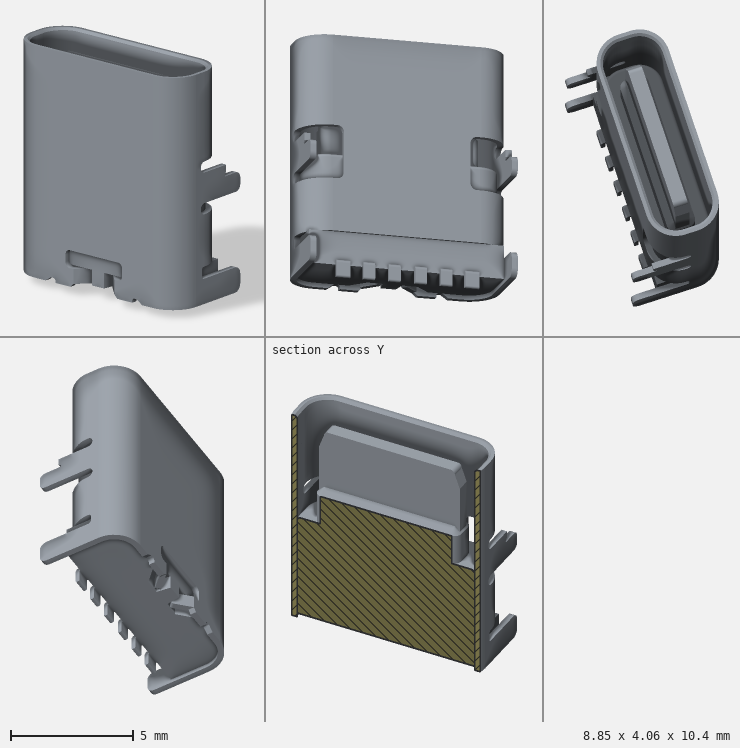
import cadquery as cq
import math


OVERALL_HEIGHT = 10.38
OVERALL_DEPTH = 4.06

SHELL_WIDTH = 8.85
SHELL_DEPTH = 3.05
SHELL_HEIGHT = 10.0
SHELL_RADIUS = 1.26
WALL = 0.26
RIM_CHAMFER = 0.1
INNER_WIDTH = SHELL_WIDTH - 2 * WALL
INNER_DEPTH = SHELL_DEPTH - 2 * WALL
INNER_RADIUS = SHELL_RADIUS - WALL
FRONT_Y = -SHELL_DEPTH / 2
INNER_FRONT_Y = -INNER_DEPTH / 2
BACK_Y = SHELL_DEPTH / 2
CORNER_START_Y = BACK_Y - SHELL_RADIUS
BEYOND = 1.04

LEG_END_Y = FRONT_Y + OVERALL_DEPTH
UPPER_LEG_BOTTOM = 4.34
UPPER_LEG_TOP = 5.17
UPPER_LEG_ROUND = 0.27
SHOULDER_TOP = 5.66
SHOULDER_Y = BACK_Y + 0.11
SHOULDER_BOTTOM = 5.35
RELIEF_DEPTH = 0.12
RELIEF_LIP = 0.06
LOWER_LEG_TOP = 1.09
LOWER_LEG_ROUND = 0.33

SLOT_HEIGHT = 0.48
SLOT_END_ROUND = 0.23
SLOT_END_Y = 0.02
OPENING_HALF_GAP = 2.7
OPENING_ROUND = 0.29
REAR_CUT_TOP = 1.61
REAR_CUT_END_Y = 0.09
REAR_CUT_ROUND = 0.12

WINDOW_WIDTH = 3.03
WINDOW_BOTTOM = 0.79
WINDOW_TOP = 1.57
WINDOW_ROUND = 0.23
FOLD_X = 1.1
FOLD_ANGLE = math.radians(45)
TAB_TIP_X = 0.43
TAB_BOTTOM = 0.16
TAB_ROUND = 0.1
TAB_RAMP = 0.16
NOTCH_OUTER_X = 2.58
NOTCH_INNER_X = 2.06
NOTCH_HEIGHT = 0.2
NOTCH_RAMP = 0.29
NOTCH_ROUND = 0.12

CORE_BOTTOM = 0.19
CORE_TOP = 4.98
CORE_ROUND = 0.15
CORE_REAR_Y = BACK_Y - 0.11
POCKET_TOP = 0.86
POCKET_DEPTH = 0.62
POCKET_FLOOR_OUTER_X = 1.07
POCKET_FLOOR_INNER_X = 0.42
POCKET_MOUTH_INNER_X = 0.32

TONGUE_BASE_WIDTH = 6.68
TONGUE_BASE_DEPTH = 1.2
TONGUE_STEP = 0.3
TONGUE_CORNER = 0.33
TONGUE_SLOPE_HEIGHT = 0.3
TONGUE_SLOPE_TOP = 6.64
TONGUE_TOP = 9.38
TONGUE_TIP_ROUND = 0.2
BLADE_TIP_HALF_WIDTH = 3.04
BLADE_HALF_WIDTH = 3.27
BLADE_TAPER_HEIGHT = 0.62

PIN_END_Z = SHELL_HEIGHT - OVERALL_HEIGHT
PIN_THICKNESS = 0.19
PIN_BACK_Y = SHOULDER_Y
PIN_TOP = CORE_BOTTOM + PIN_THICKNESS
PIN_END_ROUND = 0.07
PIN_BEND_RADIUS = 0.16
PINS = [(0.56, 0.5), (1.65, 0.5), (2.75, 0.6)]


def rounded_block(width, depth, radius, bottom, top):
    """Upright block with rounded vertical edges, centred on the Z axis."""
    block = cq.Workplane("XY", origin=(0, 0, bottom)).rect(width, depth).extrude(top - bottom)
    return block.edges("|Z").fillet(radius)


def box(x_range, y_range, z_range):
    """Box from the (low, high) limits along each axis."""
    size = [high - low for low, high in (x_range, y_range, z_range)]
    corner = (x_range[0], y_range[0], z_range[0])
    return cq.Workplane("XY", origin=corner).box(*size, centered=False)


def both_sides(right_half):
    """The given right-hand feature together with its mirror image at -X."""
    return right_half.union(right_half.mirror("YZ"))


def shell_tube():
    tube = rounded_block(SHELL_WIDTH, SHELL_DEPTH, SHELL_RADIUS, 0, SHELL_HEIGHT)
    cavity = rounded_block(INNER_WIDTH, INNER_DEPTH, INNER_RADIUS, 0, SHELL_HEIGHT)
    return tube.cut(cavity).faces(">Z").wires().item(1).chamfer(RIM_CHAMFER)


def corner_opening():
    """Right rear opening: a slot above and below the upper leg, joined behind it."""
    x_range = (OPENING_HALF_GAP, SHELL_WIDTH / 2 + BEYOND)
    y_end = BACK_Y + BEYOND
    low = UPPER_LEG_BOTTOM - SLOT_HEIGHT
    high = SHOULDER_TOP + SLOT_HEIGHT
    opening = box(x_range, (CORNER_START_Y, y_end), (low, high))
    for slot_bottom in (low, SHOULDER_TOP):
        slot = box(x_range, (SLOT_END_Y, y_end), (slot_bottom, slot_bottom + SLOT_HEIGHT))
        opening = opening.union(slot.faces("<Y").edges("|X").fillet(SLOT_END_ROUND))
    limit = box(x_range, (SLOT_END_Y, y_end), (low, high))
    return opening.intersect(limit.faces("<X").edges("|Y").fillet(OPENING_ROUND))


def rear_cut():
    """Removes the rear wall and corners near the bottom, above and behind the lower legs."""
    x_range = (-SHELL_WIDTH / 2 - BEYOND, SHELL_WIDTH / 2 + BEYOND)
    y_end = BACK_Y + BEYOND
    slot = box(x_range, (REAR_CUT_END_Y, y_end), (LOWER_LEG_TOP, REAR_CUT_TOP))
    slot = slot.faces("<Y").edges("|X").fillet(REAR_CUT_ROUND)
    return slot.union(box(x_range, (CORNER_START_Y, y_end), (-BEYOND, REAR_CUT_TOP)))


def leg_plate(bottom, top, end_round):
    """Right-hand leg, as thick as the wall, with rounded corners at its free end."""
    x_range = (INNER_WIDTH / 2, SHELL_WIDTH / 2)
    plate = box(x_range, (CORNER_START_Y, LEG_END_Y), (bottom, top))
    return plate.faces(">Y").edges("|X").fillet(end_round)


def upper_leg():
    x_range = (INNER_WIDTH / 2, SHELL_WIDTH / 2)
    leg = leg_plate(UPPER_LEG_BOTTOM, UPPER_LEG_TOP, UPPER_LEG_ROUND)
    leg = leg.union(box(x_range, (CORNER_START_Y, SHOULDER_Y), (UPPER_LEG_BOTTOM, SHOULDER_TOP)))
    relief = (
        cq.Workplane("YZ")
        .moveTo(SHOULDER_Y, SHOULDER_BOTTOM)
        .lineTo(SHOULDER_Y - RELIEF_DEPTH, UPPER_LEG_TOP + RELIEF_LIP)
        .lineTo(SHOULDER_Y - RELIEF_DEPTH + RELIEF_LIP, UPPER_LEG_TOP)
        .lineTo(SHOULDER_Y, UPPER_LEG_TOP)
        .close()
        .extrude(SHELL_WIDTH)
    )
    return leg.cut(relief)


def front_window():
    """T-shaped opening: a rounded window and the gap left below it by the folded tabs."""
    y_range = (FRONT_Y - BEYOND, INNER_FRONT_Y)
    window = box((-WINDOW_WIDTH / 2, WINDOW_WIDTH / 2), y_range, (WINDOW_BOTTOM, WINDOW_TOP))
    window = window.edges("|Y").fillet(WINDOW_ROUND)
    return window.union(box((-FOLD_X, FOLD_X), y_range, (-BEYOND, WINDOW_BOTTOM)))


def bottom_notches():
    """Right-hand relief notch in the bottom edge, and the ramp beside the folded tab."""
    start = cq.Workplane("XZ", origin=(0, INNER_FRONT_Y, 0))
    notch = (
        start.moveTo(NOTCH_OUTER_X, 0)
        .lineTo(NOTCH_OUTER_X - NOTCH_RAMP, NOTCH_HEIGHT)
        .lineTo(NOTCH_INNER_X + NOTCH_ROUND, NOTCH_HEIGHT)
        .radiusArc((NOTCH_INNER_X, NOTCH_HEIGHT - NOTCH_ROUND), -NOTCH_ROUND)
        .lineTo(NOTCH_INNER_X, 0)
        .close()
        .extrude(WALL)
    )
    ramp = (
        start.moveTo(FOLD_X, 0)
        .lineTo(FOLD_X + TAB_RAMP, 0)
        .lineTo(FOLD_X, TAB_BOTTOM)
        .close()
        .extrude(WALL)
    )
    return notch.union(ramp)


def folded_tab():
    """Right-hand tab below the window, folded inward into the shell."""
    run_x = FOLD_X - TAB_TIP_X
    run_y = run_x * math.tan(FOLD_ANGLE)
    offset_x = WALL * math.sin(FOLD_ANGLE)
    offset_y = WALL * math.cos(FOLD_ANGLE)
    inner_fold_x = FOLD_X + WALL * math.tan(FOLD_ANGLE / 2)
    tab = (
        cq.Workplane("XY", origin=(0, 0, TAB_BOTTOM))
        .moveTo(FOLD_X, FRONT_Y)
        .lineTo(TAB_TIP_X, FRONT_Y + run_y)
        .lineTo(TAB_TIP_X + offset_x, FRONT_Y + run_y + offset_y)
        .lineTo(inner_fold_x, INNER_FRONT_Y)
        .close()
        .extrude(WINDOW_BOTTOM - TAB_BOTTOM)
    )
    tip = tab.faces(">(-1, 1, 0)")
    return tip.edges("not |Z").fillet(TAB_ROUND)


def make_shell():
    shell = shell_tube()
    shell = shell.cut(both_sides(corner_opening())).cut(rear_cut())
    shell = shell.cut(front_window()).cut(both_sides(bottom_notches()))
    lower_leg = leg_plate(0, LOWER_LEG_TOP, LOWER_LEG_ROUND)
    for feature in (upper_leg(), lower_leg, folded_tab()):
        shell = shell.union(both_sides(feature))
    return shell


def tongue():
    """Tongue with a thick rounded base that slopes in to a thin blade."""
    base = rounded_block(
        TONGUE_BASE_WIDTH, TONGUE_BASE_DEPTH, TONGUE_CORNER, CORE_TOP, TONGUE_SLOPE_TOP
    )
    base = base.faces(">Z").chamfer(TONGUE_SLOPE_HEIGHT, TONGUE_STEP)
    blade_depth = TONGUE_BASE_DEPTH - 2 * TONGUE_STEP
    shoulder_z = TONGUE_TOP - TONGUE_TIP_ROUND
    right_half = (
        cq.Workplane("XZ", origin=(0, blade_depth / 2, 0))
        .moveTo(0, CORE_TOP)
        .lineTo(BLADE_HALF_WIDTH, CORE_TOP)
        .lineTo(BLADE_HALF_WIDTH, shoulder_z - BLADE_TAPER_HEIGHT)
        .lineTo(BLADE_TIP_HALF_WIDTH, shoulder_z)
        .radiusArc((BLADE_TIP_HALF_WIDTH - TONGUE_TIP_ROUND, TONGUE_TOP), -TONGUE_TIP_ROUND)
        .lineTo(0, TONGUE_TOP)
        .close()
        .extrude(blade_depth)
    )
    return base.union(both_sides(right_half))


def tab_pocket():
    """Right-hand recess that clears a folded tab, open at the bottom."""
    floor_y = INNER_FRONT_Y + POCKET_DEPTH
    return (
        cq.Workplane("XY")
        .moveTo(POCKET_MOUTH_INNER_X, INNER_FRONT_Y)
        .lineTo(POCKET_FLOOR_INNER_X, floor_y)
        .lineTo(POCKET_FLOOR_OUTER_X, floor_y)
        .lineTo(POCKET_FLOOR_OUTER_X + POCKET_DEPTH, INNER_FRONT_Y)
        .close()
        .extrude(POCKET_TOP)
    )


def pin(center_x, width):
    """Angled pin: out of the back of the core, then down past the bottom of the shell."""
    front_y = PIN_BACK_Y - PIN_THICKNESS
    x_range = (center_x - width / 2, center_x + width / 2)
    blade = box(x_range, (front_y, PIN_BACK_Y), (PIN_END_Z, PIN_TOP))
    blade = blade.faces("<Z").edges("|X").fillet(PIN_END_ROUND)
    blade = blade.faces(">Z").edges("|X and >Y").fillet(PIN_BEND_RADIUS)
    return blade.union(box(x_range, (0, front_y), (CORE_BOTTOM, PIN_TOP)))


def make_core():
    core = rounded_block(INNER_WIDTH, INNER_DEPTH, INNER_RADIUS, CORE_BOTTOM, CORE_TOP)
    core = core.faces(">Z").edges().fillet(CORE_ROUND)
    rear_block = box(
        (-INNER_WIDTH / 2, INNER_WIDTH / 2), (0, CORE_REAR_Y), (CORE_BOTTOM, REAR_CUT_TOP)
    )
    core = core.union(rear_block).union(tongue())
    core = core.cut(both_sides(tab_pocket()))
    for center_x, width in PINS:
        for side in (-1, 1):
            core = core.union(pin(side * center_x, width))
    return core


shell = make_shell()
core = make_core()
result = cq.Compound.makeCompound([*shell.solids().vals(), *core.solids().vals()])